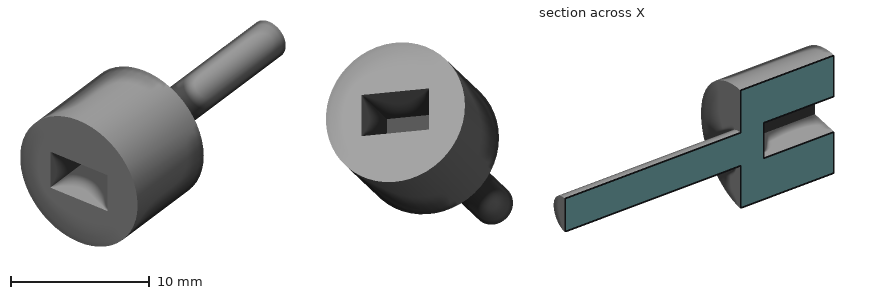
import cadquery as cq

total_length = 23
head_length = 8.0
head_diameter = 10.5
shaft_diameter = 3
socket_width = 5.1
socket_height = 3.1
socket_depth = 5.98

head = cq.Workplane("XZ").circle(head_diameter / 2).extrude(-head_length)

shaft = (
    cq.Workplane("XZ", origin=(0, head_length, 0))
    .circle(shaft_diameter / 2)
    .extrude(-(total_length - head_length))
)

socket = cq.Workplane("XZ").rect(socket_width, socket_height).extrude(-socket_depth)

result = head.union(shaft).cut(socket)